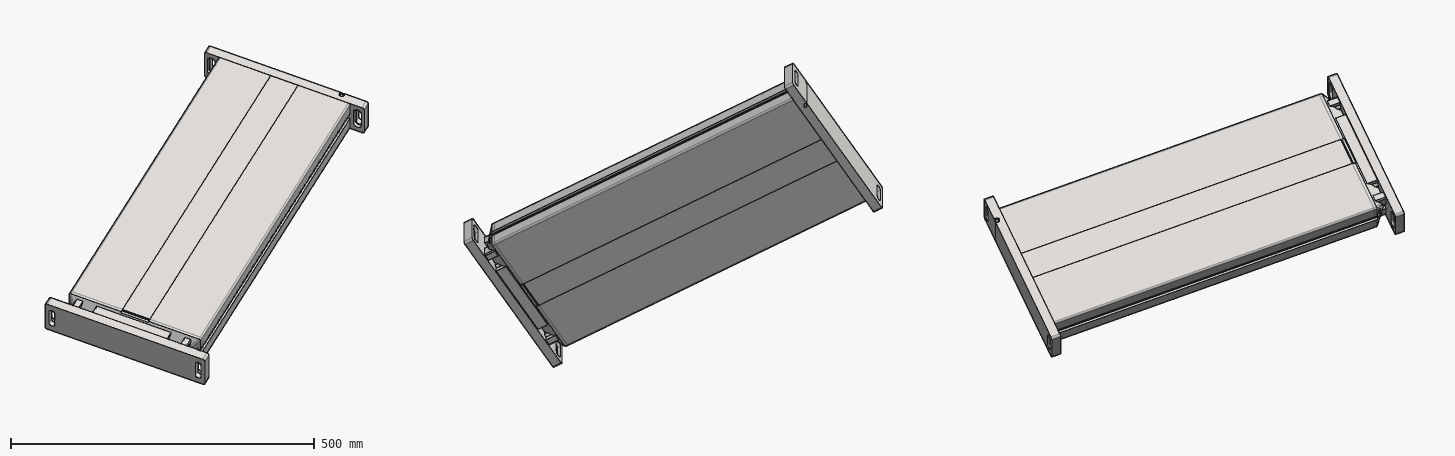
import cadquery as cq

total_length = 630.0
plate_width = 292.0
height = 62.0
mid_z = height / 2

plate_thickness = 16.0
plate_corner_radius = 4.0
slot_width = 10.0
slot_height = 38.0
slot_spacing = 267.0
slot_recess_width = 14.0
slot_recess_height = 42.0
slot_recess_depth = 6.0
rear_plate_y = total_length - plate_thickness

case_width = 240.0
case_step = 0.3
case_height = height - 2 * case_step
case_edge_radius = 3.0
case_front_y = 38.0
rim_length = 5.0
rim_draft = 0.12
rim_y = case_front_y + rim_length
front_end_inset = rim_draft + case_front_y - plate_thickness

band_width = 50.0
band_depth = 0.3
band_end_y = 41.0
band_end_depth = 1.5

groove_opening = 11.5
groove_lip = 4.0
groove_depth = 10.5
groove_cavity_height = 20.0
groove_floor_height = 14.0
groove_slope = (groove_cavity_height - groove_floor_height) / 2

neck_width = 211.0
neck_height = 54.0
neck_edge_chamfer = 2.0
channel_inner_x = 68.0
channel_outer_x = 93.0
channel_wall_depth = 8.5
channel_ledge = 4.0
side_notch_height = 15.0

screw_x = 99.0
screw_inset = 3.5
screw_radius = 2.5
screw_length = 65.0
screw_tip = 4.27
countersink_radius = 4.5
screw_y = total_length - screw_inset
head_z = screw_length - screw_tip
seat_bottom_z = height - (countersink_radius - screw_radius)
head_radius = screw_radius + head_z - seat_bottom_z


def xz_plane(y):
    """Workplane facing -Y, centred on the case axis at the given Y."""
    return cq.Workplane("XZ", origin=(0, y, mid_z))


def slot_pair(near_y, far_y, width, length):
    """Cutter for the two upright slots, from far_y to near_y."""
    return (
        xz_plane(far_y)
        .pushPoints([(-slot_spacing / 2, 0), (slot_spacing / 2, 0)])
        .slot2D(length, width, 90)
        .extrude(far_y - near_y)
    )


def end_plate(near_y, recess_y):
    """Plate starting at near_y, with slots widened over a recess that starts at recess_y."""
    far_y = near_y + plate_thickness
    plate = xz_plane(far_y).rect(plate_width, height).extrude(plate_thickness)
    plate = plate.edges("|Y").fillet(plate_corner_radius)
    slots = slot_pair(near_y, far_y, slot_width, slot_height)
    recesses = slot_pair(recess_y, recess_y + slot_recess_depth, slot_recess_width, slot_recess_height)
    return plate.cut(slots).cut(recesses)


def case_section(y, inset):
    """Rounded rectangle of the case at the given Y, shrunk by inset on every side."""
    section = cq.Sketch().rect(case_width - 2 * inset, case_height - 2 * inset)
    section = section.vertices().fillet(case_edge_radius)
    return section.moved(cq.Location(xz_plane(y).plane))


def case_part(rear_y, rear_inset, front_y, front_inset):
    """Straight-sided stretch of the case between two sections."""
    rear = case_section(rear_y, rear_inset)
    front = case_section(front_y, front_inset)
    return cq.Workplane().placeSketch(rear, front).loft(ruled=True)


def case_blank():
    """Rounded case that narrows to a 45 degree pyramid at the front."""
    straight = case_part(rear_plate_y, 0, rim_y, 0)
    rim = case_part(rim_y, 0, case_front_y, rim_draft)
    front_end = case_part(case_front_y, rim_draft, plate_thickness, front_end_inset)
    return straight.union(rim).union(front_end)


def neck():
    """Block behind the front plate, with channels above, below and at the sides."""
    length = rim_y - plate_thickness
    block = xz_plane(rim_y).rect(neck_width, neck_height).extrude(length)
    block = block.edges("|Y").chamfer(neck_edge_chamfer)
    top = neck_height / 2
    ledge_z = top - channel_wall_depth
    step_z = ledge_z - channel_ledge
    channel = (
        xz_plane(rim_y)
        .polyline([
            (channel_inner_x, top),
            (channel_inner_x, ledge_z),
            (channel_inner_x + channel_ledge, step_z),
            (channel_inner_x + channel_ledge, 0),
            (channel_outer_x - channel_ledge, 0),
            (channel_outer_x - channel_ledge, step_z),
            (channel_outer_x, ledge_z),
            (channel_outer_x, top),
        ])
        .close()
        .extrude(length)
    )
    side_notch = (
        xz_plane(rim_y)
        .center((neck_width / 2 + channel_outer_x) / 2, 0)
        .rect(neck_width / 2 - channel_outer_x, side_notch_height)
        .extrude(length)
    )
    cutter = channel.union(channel.mirror("XY", (0, 0, mid_z))).union(side_notch)
    return block.cut(cutter).cut(cutter.mirror("YZ"))


def side_groove():
    """Cutter for the undercut groove on the +X side."""
    outer = case_width / 2
    lip_x = outer - groove_lip
    floor_x = outer - groove_depth
    opening = groove_opening / 2
    cavity = groove_cavity_height / 2
    floor = groove_floor_height / 2
    return (
        xz_plane(rear_plate_y)
        .polyline([
            (outer, -opening),
            (lip_x, -opening),
            (lip_x, -cavity),
            (floor_x + groove_slope, -cavity),
            (floor_x, -floor),
            (floor_x, floor),
            (floor_x + groove_slope, cavity),
            (lip_x, cavity),
            (lip_x, opening),
            (outer, opening),
        ])
        .close()
        .extrude(rear_plate_y - plate_thickness)
    )


def band_pair(near_y, far_y, depth):
    """Cutter for a top and a bottom band of the given depth, from far_y to near_y."""
    offset = (case_height - depth) / 2
    return (
        xz_plane(far_y)
        .pushPoints([(0, offset), (0, -offset)])
        .rect(band_width, depth)
        .extrude(far_y - near_y)
    )


def middle_bands():
    """Shallow bands along the case, with a deeper step at the front rim."""
    shallow = band_pair(rim_y, rear_plate_y, band_depth)
    step = band_pair(plate_thickness, band_end_y, band_end_depth)
    return shallow.union(step)


def screw():
    """Countersunk screw whose conical head sits below the plate top."""
    return (
        cq.Workplane("XZ", origin=(screw_x, screw_y, 0))
        .polyline([
            (0, -screw_tip),
            (screw_radius, -screw_tip),
            (screw_radius, seat_bottom_z),
            (head_radius, head_z),
            (0, head_z),
        ])
        .close()
        .revolve(360, (0, 0, 0), (0, 1, 0))
    )


def screw_hole():
    """Through hole with a countersink that breaks into the outer face."""
    return (
        cq.Workplane("XZ", origin=(screw_x, screw_y, 0))
        .polyline([
            (0, 0),
            (screw_radius, 0),
            (screw_radius, seat_bottom_z),
            (countersink_radius, height),
            (0, height),
        ])
        .close()
        .revolve(360, (0, 0, 0), (0, 1, 0))
    )


case = case_blank().cut(middle_bands())
for groove in (side_groove(), side_groove().mirror("YZ")):
    case = case.cut(groove)

front_plate = end_plate(0, plate_thickness - slot_recess_depth)
rear_plate = end_plate(rear_plate_y, rear_plate_y)

housing = case.union(neck()).union(front_plate).union(rear_plate)
housing = housing.cut(screw_hole())

result = cq.Compound.makeCompound([housing.val(), screw().val()])